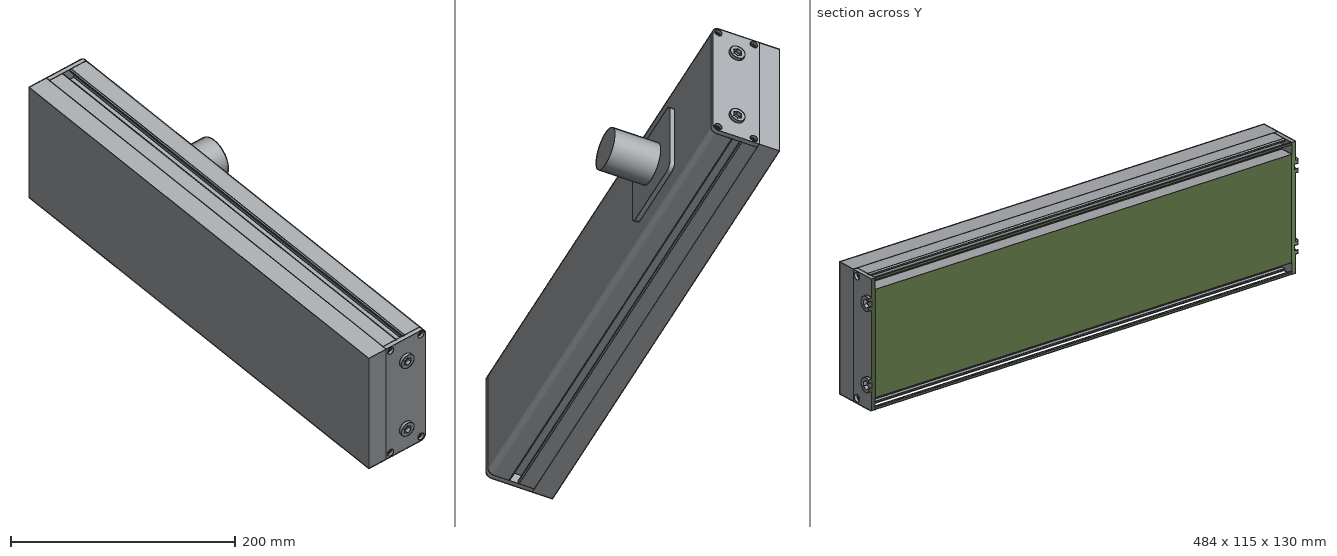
import cadquery as cq
import math

LENGTH = 478.0
HEIGHT = 130.0
FRONT_PLATE_DEPTH = 20.0
BACK_FACE_Y = 65.5
BACK_EDGE_RADIUS = 6.0

CAP_THICKNESS = 4.5
SCREW_EDGE_OFFSET_Z = 5.0
SCREW_BACK_OFFSET = 5.3
SCREW_SPACING_Y = 35.0
SCREW_HOLE_DIAMETER = 5.2
SCREW_COUNTERBORE_DIAMETER = 7.0
SCREW_COUNTERBORE_DEPTH = 3.0

PLUG_DIAMETER = 14.5
PLUG_CENTER_Y = 42.5
PLUG_PROTRUSION = 3.0
PLUG_SPACING_Z = 80.0
SOCKET_ACROSS_FLATS = 7.5
SOCKET_DEPTH = 4.0

SLOT_CENTER_Y = 40.0
SLOT_MOUTH_WIDTH = 10.0
SLOT_LIP_CHAMFER = 1.2
SLOT_LIP_DEPTH = 2.5
SLOT_CAVITY_WIDTH = 16.0
SLOT_DEPTH = 11.5

OUTLET_CENTER_X = -LENGTH / 2 + 120.5
FLANGE_SIZE = 79.5
FLANGE_THICKNESS = 4.5
FLANGE_CORNER_RADIUS = 7.5
PIPE_DIAMETER = 40.0
OUTLET_END_Y = 115.0

BODY_DEPTH = BACK_FACE_Y - FRONT_PLATE_DEPTH
BODY_CENTER_Y = FRONT_PLATE_DEPTH + BODY_DEPTH / 2
HOUSING_LENGTH = LENGTH - 2 * CAP_THICKNESS
SCREW_BACK_Y = BACK_FACE_Y - SCREW_BACK_OFFSET
SCREW_Z = HEIGHT / 2 - SCREW_EDGE_OFFSET_Z
SCREW_POINTS = [
    (y, z)
    for y in (SCREW_BACK_Y - SCREW_SPACING_Y, SCREW_BACK_Y)
    for z in (-SCREW_Z, SCREW_Z)
]
PLUG_POINTS = [(PLUG_CENTER_Y, z) for z in (-PLUG_SPACING_Z / 2, PLUG_SPACING_Z / 2)]


def body_block(length):
    """Block behind the front plate, centred on X, with its long back edges rounded."""
    block = cq.Workplane("XY").box(length, BODY_DEPTH, HEIGHT).translate((0, BODY_CENTER_Y, 0))
    return block.faces(">Y").edges("|X").fillet(BACK_EDGE_RADIUS)


def make_front_plate():
    """Plain plate across the whole front."""
    plate = cq.Workplane("XY").box(LENGTH, FRONT_PLATE_DEPTH, HEIGHT)
    return plate.translate((0, FRONT_PLATE_DEPTH / 2, 0))


def slot_cutter():
    """T-slot with chamfered lips, cut into the upper face along the full housing length."""
    mouth = SLOT_MOUTH_WIDTH / 2
    neck = mouth - SLOT_LIP_CHAMFER
    cavity = SLOT_CAVITY_WIDTH / 2
    top = HEIGHT / 2
    half_profile = [
        (mouth, top),
        (neck, top - SLOT_LIP_CHAMFER),
        (neck, top - SLOT_LIP_DEPTH),
        (cavity, top - SLOT_LIP_DEPTH),
        (cavity, top - SLOT_DEPTH),
    ]
    front_side = [(SLOT_CENTER_Y - half_width, z) for half_width, z in half_profile]
    back_side = [(SLOT_CENTER_Y + half_width, z) for half_width, z in reversed(half_profile)]
    cutter = cq.Workplane("YZ").polyline(front_side + back_side).close()
    return cutter.extrude(HOUSING_LENGTH / 2, both=True)


def make_housing():
    """Long housing with a T-slot in its upper face and a matching one below."""
    slot = slot_cutter()
    return body_block(HOUSING_LENGTH).cut(slot).cut(slot.mirror("XY"))


def make_right_cap():
    """End cap at the +X end, with counterbored screw holes and two socketed plugs."""
    cap = body_block(CAP_THICKNESS).translate(((LENGTH - CAP_THICKNESS) / 2, 0, 0))
    outer_face = cq.Workplane("YZ", origin=(LENGTH / 2, 0, 0))
    plug_face = outer_face.workplane(offset=PLUG_PROTRUSION)

    screw_holes = (
        outer_face.pushPoints(SCREW_POINTS)
        .circle(SCREW_HOLE_DIAMETER / 2)
        .extrude(-CAP_THICKNESS)
    )
    counterbores = (
        outer_face.pushPoints(SCREW_POINTS)
        .circle(SCREW_COUNTERBORE_DIAMETER / 2)
        .extrude(-SCREW_COUNTERBORE_DEPTH)
    )
    plugs = outer_face.pushPoints(PLUG_POINTS).circle(PLUG_DIAMETER / 2).extrude(PLUG_PROTRUSION)

    corner_diameter = SOCKET_ACROSS_FLATS / math.cos(math.pi / 6)
    socket = cq.Sketch().regularPolygon(corner_diameter / 2, 6, angle=0)
    sockets = plug_face.pushPoints(PLUG_POINTS).placeSketch(socket).extrude(-SOCKET_DEPTH)

    return cap.cut(screw_holes).cut(counterbores).union(plugs).cut(sockets)


def make_cable_outlet():
    """Square flange with rounded corners on the back face, carrying a round pipe."""
    flange = (
        cq.Workplane("XY")
        .box(FLANGE_SIZE, FLANGE_THICKNESS, FLANGE_SIZE)
        .edges("|Y")
        .fillet(FLANGE_CORNER_RADIUS)
        .translate((OUTLET_CENTER_X, BACK_FACE_Y + FLANGE_THICKNESS / 2, 0))
    )
    pipe_length = OUTLET_END_Y - BACK_FACE_Y
    pipe = (
        cq.Workplane("XZ", origin=(OUTLET_CENTER_X, BACK_FACE_Y, 0))
        .circle(PIPE_DIAMETER / 2)
        .extrude(-pipe_length)
    )
    return flange.union(pipe)


front_plate = make_front_plate()
housing = make_housing()
right_cap = make_right_cap()
left_cap = right_cap.mirror("YZ")
cable_outlet = make_cable_outlet()

result = cq.Compound.makeCompound([
    front_plate.val(),
    housing.val(),
    right_cap.val(),
    left_cap.val(),
    cable_outlet.val(),
])